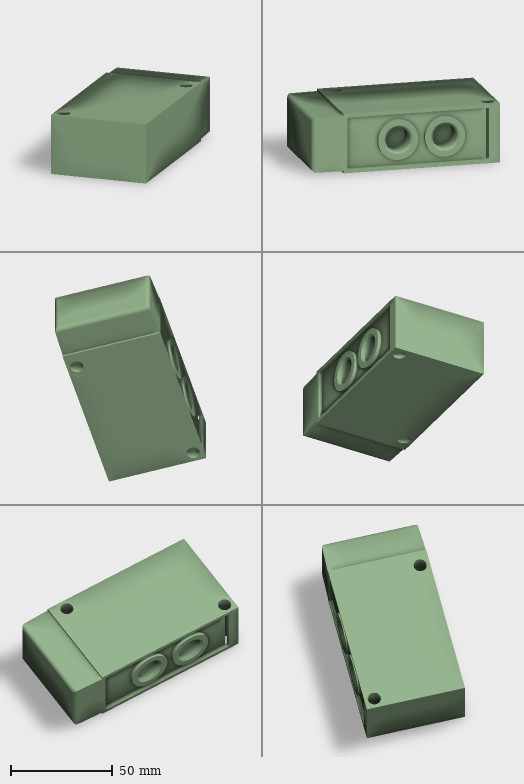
import cadquery as cq
import math

body_width = 50.0
body_length = 80.0
body_height = 30.4
mid_height = body_height / 2

cap_length = 16.0
cap_height = 28.0
cap_side_taper = 2.0
cap_edge_radius = 2.0

mounting_hole_diameter = 6.5
mounting_hole_inset = 5.0
mounting_hole_spacing_y = 67.0

recess_depth = 2.0
recess_margin = 2.0
recess_front_margin = 5.5
recess_corner_radius = 1.0
floor_bevel_width = 1.0
floor_bevel_depth = 1.0

port_boss_diameter = 20.57
port_mouth_diameter = 14.5
port_diameter = 12.6
port_taper = 1.79
port_depth = 10.0
port_spacing = 24.0
port_mid_y = body_length / 2


def make_body():
    return cq.Workplane("XY").box(body_width, body_length, body_height, centered=False)


def make_cap():
    end_inset = cap_length * math.tan(math.radians(cap_side_taper))
    cap_end = body_length + cap_length
    outline = [
        (0, body_length),
        (body_width, body_length),
        (body_width - end_inset, cap_end),
        (end_inset, cap_end),
    ]
    bottom = mid_height - cap_height / 2
    cap = cq.Workplane("XY", origin=(0, 0, bottom)).polyline(outline).close().extrude(cap_height)
    return cap.faces(">Y").edges().fillet(cap_edge_radius)


def make_mounting_holes():
    near = (mounting_hole_inset, mounting_hole_inset)
    far = (body_width - mounting_hole_inset, mounting_hole_inset + mounting_hole_spacing_y)
    holes = cq.Workplane("XY").pushPoints([near, far])
    return holes.circle(mounting_hole_diameter / 2).extrude(body_height)


def make_recess():
    """Pocket volume whose floor slopes deeper along its -Y end."""
    recess_length = body_length - recess_front_margin - recess_margin
    recess_height = body_height - 2 * recess_margin
    deepest = recess_depth + floor_bevel_depth
    pocket = cq.Workplane("XY", origin=(0, recess_front_margin, recess_margin))
    pocket = pocket.box(deepest, recess_length, recess_height, centered=False)
    pocket = pocket.edges("|X").fillet(recess_corner_radius)

    recess_end = recess_front_margin + recess_length
    profile = [
        (0, recess_front_margin),
        (deepest, recess_front_margin),
        (recess_depth, recess_front_margin + floor_bevel_width),
        (recess_depth, recess_end),
        (0, recess_end),
    ]
    floor_limit = cq.Workplane("XY").polyline(profile).close().extrude(body_height)
    return pocket.intersect(floor_limit)


def make_port_boss(port_y):
    plane = cq.Workplane("YZ", origin=(0, port_y, mid_height))
    return plane.circle(port_boss_diameter / 2).extrude(recess_depth)


def make_port_bore(port_y):
    """Tapered, flat-bottomed blind bore with a 45 degree chamfer at its mouth."""
    bore_radius = port_diameter / 2
    mouth_radius = port_mouth_diameter / 2
    chamfer = mouth_radius - bore_radius
    floor_radius = bore_radius - (port_depth - chamfer) * math.tan(math.radians(port_taper))
    half_section = [
        (0, 0),
        (0, mouth_radius),
        (chamfer, bore_radius),
        (port_depth, floor_radius),
        (port_depth, 0),
    ]
    plane = cq.Workplane("XY", origin=(0, port_y, mid_height))
    return plane.polyline(half_section).close().revolve(360, (0, 0), (1, 0))


result = make_body().union(make_cap()).cut(make_mounting_holes()).cut(make_recess())
for side in (-1, 1):
    port_y = port_mid_y + side * port_spacing / 2
    result = result.union(make_port_boss(port_y)).cut(make_port_bore(port_y))